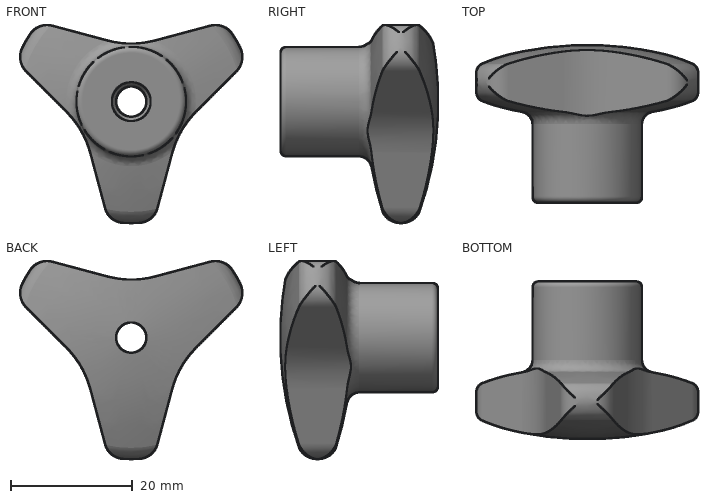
import cadquery as cq
import math

tip_radius = 20.0
edge_radius = 18.15
crown_radius = 54.08
underside_radius = 59.93
head_thickness = 12.0

arm_angles = (30, 150, 270)
arm_spacing = 120
arm_taper = 15
valley_radius = 14.98
valley_depth_radius = 9.55
corner_radius = 3.35

total_height = 25.9
hub_radius = 18.0 / 2
hub_end_round = 1.0
neck_fillet = 2.0

bore_radius = 4.95 / 2
mouth_radius = 6.4 / 2
mouth_depth = 1.0
cone_half_angle = 30


def dome_drop(sphere_radius, radius):
    """Axial fall of a spherical face at a given distance from the axis."""
    return sphere_radius - math.sqrt(sphere_radius**2 - radius**2)


crown_y = total_height + dome_drop(crown_radius, bore_radius)
underside_y = crown_y - head_thickness


def polar(radius, angle):
    """Point at an angle in degrees."""
    return (radius * math.cos(math.radians(angle)), radius * math.sin(math.radians(angle)))


def offset(point, distance, angle):
    """Point moved by a distance along an angle."""
    dx, dz = polar(distance, angle)
    return (point[0] + dx, point[1] + dz)


def make_turned_body():
    """Domed head and hub, joined by the neck fillet."""
    upper_edge_y = crown_y - dome_drop(crown_radius, edge_radius)
    lower_edge_y = underside_y + dome_drop(underside_radius, edge_radius)
    neck_y = underside_y + dome_drop(underside_radius, hub_radius)
    half_edge = edge_radius / 2
    mid_radius = (edge_radius + hub_radius) / 2
    profile = (
        cq.Workplane("XY")
        .moveTo(0, 0)
        .lineTo(hub_radius, 0)
        .lineTo(hub_radius, neck_y)
        .threePointArc(
            (mid_radius, underside_y + dome_drop(underside_radius, mid_radius)),
            (edge_radius, lower_edge_y),
        )
        .threePointArc(
            (tip_radius, (upper_edge_y + lower_edge_y) / 2), (edge_radius, upper_edge_y)
        )
        .threePointArc(
            (half_edge, crown_y - dome_drop(crown_radius, half_edge)), (0, crown_y)
        )
        .close()
    )
    body = profile.revolve(360, (0, 0, 0), (0, 1, 0))
    neck_centre = (0, neck_y, 0)
    body = body.edges(cq.selectors.NearestToPointSelector(neck_centre)).fillet(neck_fillet)
    return body.faces("<Y").edges().fillet(hub_end_round)


def make_arm_outline():
    """Prism with tapered arms, rounded corners and round valleys between the arms."""
    side_normal = 90 - arm_taper
    valley_centre_radius = valley_depth_radius + valley_radius
    side_distance = valley_centre_radius * math.cos(math.radians(arm_taper)) - valley_radius
    corner_centre_radius = tip_radius - corner_radius
    corner_swing = math.degrees(math.acos((side_distance - corner_radius) / corner_centre_radius))
    corner_angle = side_normal - corner_swing

    def side_start(arm, side):
        """Point where an arm side leaves its valley."""
        valley_centre = polar(valley_centre_radius, arm + side * arm_spacing / 2)
        return offset(valley_centre, -valley_radius, arm + side * side_normal)

    def corner_points(arm, side):
        """Corner arc from the arm side to the tip: start, middle and end."""
        centre = polar(corner_centre_radius, arm + side * corner_angle)
        directions = (side_normal, (side_normal + corner_angle) / 2, corner_angle)
        return [offset(centre, corner_radius, arm + side * angle) for angle in directions]

    outline = cq.Workplane("XZ").moveTo(*side_start(arm_angles[0], -1))
    for arm in arm_angles:
        side_end, corner_middle, tip_start = corner_points(arm, -1)
        far_side_end, far_corner_middle, tip_end = corner_points(arm, 1)
        valley_bottom = polar(valley_depth_radius, arm + arm_spacing / 2)
        outline = (
            outline.lineTo(*side_end)
            .threePointArc(corner_middle, tip_start)
            .threePointArc(polar(tip_radius, arm), tip_end)
            .threePointArc(far_corner_middle, far_side_end)
            .lineTo(*side_start(arm, 1))
            .threePointArc(valley_bottom, side_start(arm + arm_spacing, -1))
        )
    return outline.close().extrude(-crown_y)


def make_bore():
    """Through bore with a short wider mouth at the hub end and a cone between the two."""
    cone_length = (mouth_radius - bore_radius) / math.tan(math.radians(cone_half_angle))
    return (
        cq.Workplane("XY")
        .moveTo(0, 0)
        .lineTo(mouth_radius, 0)
        .lineTo(mouth_radius, mouth_depth)
        .lineTo(bore_radius, mouth_depth + cone_length)
        .lineTo(bore_radius, crown_y)
        .lineTo(0, crown_y)
        .close()
        .revolve(360, (0, 0, 0), (0, 1, 0))
    )


result = make_turned_body().intersect(make_arm_outline()).cut(make_bore())